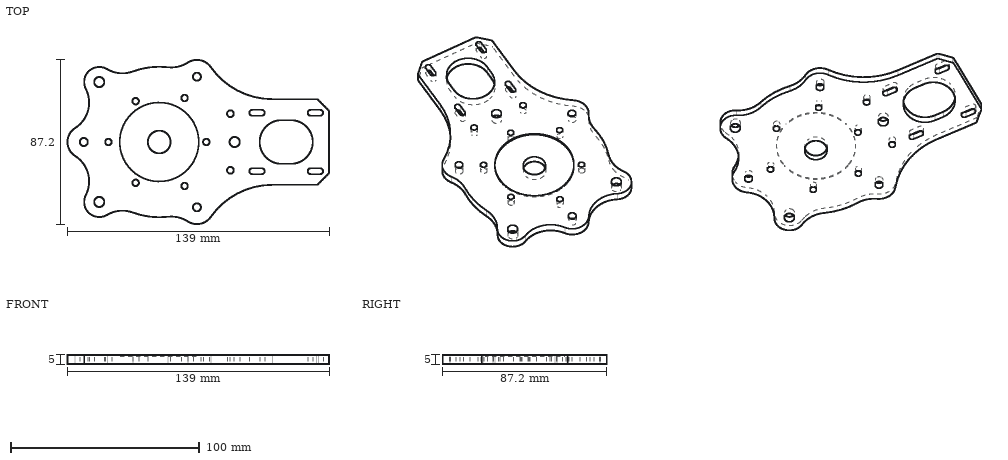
import cadquery as cq
import math

thickness = 5.0
body_radius = 40.0
concave_radius = 16.0

lobe_hole_radius = 40.0
left_end = -48.8
tail_lobe_center = (-lobe_hole_radius, 0)
tail_lobe_radius = tail_lobe_center[0] - left_end
corner_lobe_center = (-31.8, 31.8)
corner_lobe_radius = 8.0
shoulder_angle = math.radians(60)
shoulder_lobe_center = (
    lobe_hole_radius * math.cos(shoulder_angle),
    lobe_hole_radius * math.sin(shoulder_angle),
)
half_width = 43.6
shoulder_lobe_radius = half_width - shoulder_lobe_center[1]

arm_end = left_end + 139
arm_half_width = 22.8
arm_fillet_radius = 40.0
arm_chamfer = 6.3
arm_corner_round = 1.4

bore_diameter = 12.0
recess_diameter = 42.0
recess_depth = 0.8

corner_hole_diameter = 5.3
lobe_hole_diameter = 4.2
arm_pivot_x = 40.0
arm_pivot_diameter = 5.3
small_hole_diameter = 3.3
inner_circle_radius = 25.0
outer_circle_radius = 27.0
arm_hole_position = (37.8, 15.0)
arm_hole_diameter = 3.5

motor_x = 67.4
motor_travel = 5.0
motor_opening_width = 23.1
slot_width = 3.0
slot_pitch = 31.0


def point_toward(start, target, distance):
    """Point at a distance from start on the line to target."""
    length = math.dist(start, target)
    return tuple(s + (t - s) * distance / length for s, t in zip(start, target))


def tangent_center(first, first_radius, second, second_radius, radius):
    """Centre of a circle touching two circles from outside, left of the line first to second."""
    a = first_radius + radius
    b = second_radius + radius
    d = math.dist(first, second)
    along = (a * a - b * b + d * d) / (2 * d)
    across = math.sqrt(a * a - along * along)
    ux = (second[0] - first[0]) / d
    uy = (second[1] - first[1]) / d
    return (first[0] + along * ux - across * uy, first[1] + along * uy + across * ux)


def arc_to(sketch, center, radius, start, end):
    """Add the shorter arc about center from start to end."""
    middle = ((start[0] + end[0]) / 2, (start[1] + end[1]) / 2)
    return sketch.threePointArc(point_toward(center, middle, radius), end)


def half_plate():
    """Upper half of the plate, from the tail lobe round to the arm end."""
    convex = [
        (tail_lobe_center, tail_lobe_radius),
        (corner_lobe_center, corner_lobe_radius),
        ((0, 0), body_radius),
        (shoulder_lobe_center, shoulder_lobe_radius),
    ]
    start = (left_end, 0)
    sketch = cq.Workplane("XY").moveTo(*start)
    for (center, radius), (next_center, next_radius) in zip(convex, convex[1:]):
        hollow = tangent_center(center, radius, next_center, next_radius, concave_radius)
        hollow_start = point_toward(center, hollow, radius)
        hollow_end = point_toward(next_center, hollow, next_radius)
        sketch = arc_to(sketch, center, radius, start, hollow_start)
        sketch = arc_to(sketch, hollow, concave_radius, hollow_start, hollow_end)
        start = hollow_end

    fillet_y = arm_half_width + arm_fillet_radius
    rise = fillet_y - shoulder_lobe_center[1]
    run = math.sqrt((arm_fillet_radius + shoulder_lobe_radius) ** 2 - rise**2)
    fillet_center = (shoulder_lobe_center[0] + run, fillet_y)
    fillet_start = point_toward(shoulder_lobe_center, fillet_center, shoulder_lobe_radius)
    fillet_end = (fillet_center[0], arm_half_width)
    sketch = arc_to(sketch, shoulder_lobe_center, shoulder_lobe_radius, start, fillet_start)
    sketch = arc_to(sketch, fillet_center, arm_fillet_radius, fillet_start, fillet_end)

    sketch = (
        sketch.lineTo(arm_end - arm_chamfer, arm_half_width)
        .lineTo(arm_end, arm_half_width - arm_chamfer)
        .lineTo(arm_end, 0)
        .close()
    )
    half = sketch.extrude(thickness)
    chamfer_corners = [
        (arm_end - arm_chamfer, arm_half_width),
        (arm_end, arm_half_width - arm_chamfer),
    ]
    for x, y in chamfer_corners:
        corner = cq.selectors.NearestToPointSelector((x, y, thickness / 2))
        half = half.edges("|Z").edges(corner).fillet(arm_corner_round)
    return half


def hole_cutter(points, diameter):
    return cq.Workplane("XY").pushPoints(points).circle(diameter / 2).extrude(thickness)


def slot_cutter(points, width):
    """Through slots along X, long enough for the motor travel."""
    return cq.Workplane("XY").pushPoints(points).slot2D(width + motor_travel, width).extrude(thickness)


def mirrored(point):
    return [point, (point[0], -point[1])]


def ring(radius, first_angle):
    """Three points evenly spaced on a circle about the bore."""
    angles = [math.radians(first_angle + 120 * i) for i in range(3)]
    return [(radius * math.cos(a), radius * math.sin(a)) for a in angles]


upper_half = half_plate()
plate = upper_half.union(upper_half.mirror("XZ")).clean()

recess = (
    cq.Workplane("XY")
    .workplane(offset=thickness - recess_depth)
    .circle(recess_diameter / 2)
    .extrude(recess_depth)
)
slot_points = [
    (motor_x + sx * slot_pitch / 2, sy * slot_pitch / 2) for sx in (-1, 1) for sy in (-1, 1)
]
small_hole_points = ring(inner_circle_radius, 0) + ring(outer_circle_radius, 60)

cutters = [
    recess,
    hole_cutter([(0, 0)], bore_diameter),
    hole_cutter(mirrored(corner_lobe_center), corner_hole_diameter),
    hole_cutter(ring(lobe_hole_radius, 60), lobe_hole_diameter),
    hole_cutter([(arm_pivot_x, 0)], arm_pivot_diameter),
    hole_cutter(small_hole_points, small_hole_diameter),
    hole_cutter(mirrored(arm_hole_position), arm_hole_diameter),
    slot_cutter([(motor_x, 0)], motor_opening_width),
    slot_cutter(slot_points, slot_width),
]
for cutter in cutters:
    plate = plate.cut(cutter)

result = plate